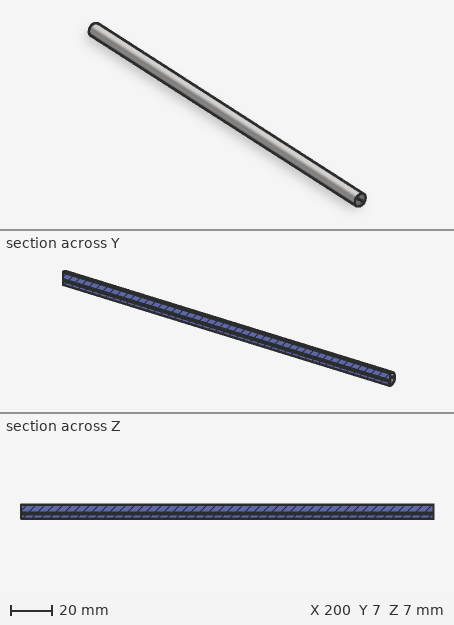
import cadquery as cq

rod_length = 200.0
rod_diameter = 7.0
end_chamfer = 0.35

hole_diameter = 0.7
hole_offset_y = 0.9
hole_offset_z = 0.8


def x_cylinders(diameter, centres):
    """Full-length cylinders along X, one at each (y, z) centre."""
    return (
        cq.Workplane("YZ")
        .pushPoints(centres)
        .circle(diameter / 2)
        .extrude(rod_length / 2, both=True)
    )


def make_rod():
    """Plain rod chamfered on the -X end only."""
    rod = x_cylinders(rod_diameter, [(0, 0)])
    return rod.faces("<X").chamfer(end_chamfer)


def make_holes():
    """Cutters for the pair of lengthwise holes."""
    centres = [
        (-hole_offset_y, hole_offset_z),
        (hole_offset_y, -hole_offset_z),
    ]
    return x_cylinders(hole_diameter, centres)


result = make_rod().cut(make_holes())